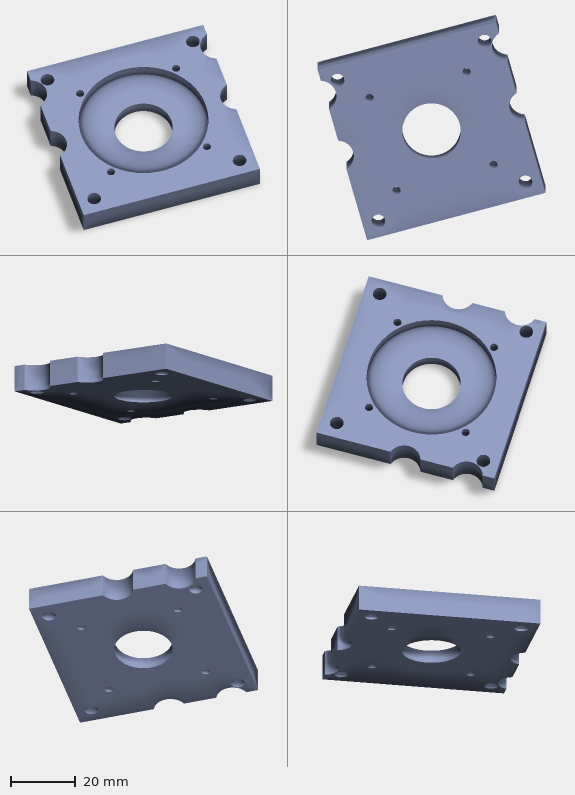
import cadquery as cq

side = 57.0
thickness = 8.0

bore_diameter = 18.0
recess_diameter = 40.0
recess_depth = thickness / 2

corner_hole_diameter = 4.2
corner_hole_spacing = 47.0
small_hole_diameter = 2.5
small_hole_spacing = 31.0

notch_radius = 5.0
notch_depth = 3.5
notch_positions_x = (-recess_diameter / 2, 0)


def drill_square_pattern(body, spacing, diameter):
    """Drill a through hole at each corner of a centred square."""
    top = body.faces(">Z").workplane(origin=(0, 0, 0))
    return top.rect(spacing, spacing, forConstruction=True).vertices().hole(diameter)


def cut_edge_notches(body):
    """Cut full-height round notches into the front and back edges."""
    centre_y = side / 2 + notch_radius - notch_depth
    centres = [(x, sign * centre_y) for x in notch_positions_x for sign in (-1, 1)]
    cutters = cq.Workplane("XY").pushPoints(centres).circle(notch_radius).extrude(thickness)
    return body.cut(cutters)


plate = cq.Workplane("XY").box(side, side, thickness, centered=(True, True, False))
plate = plate.faces(">Z").workplane().cboreHole(bore_diameter, recess_diameter, recess_depth)
plate = drill_square_pattern(plate, corner_hole_spacing, corner_hole_diameter)
plate = drill_square_pattern(plate, small_hole_spacing, small_hole_diameter)
result = cut_edge_notches(plate)